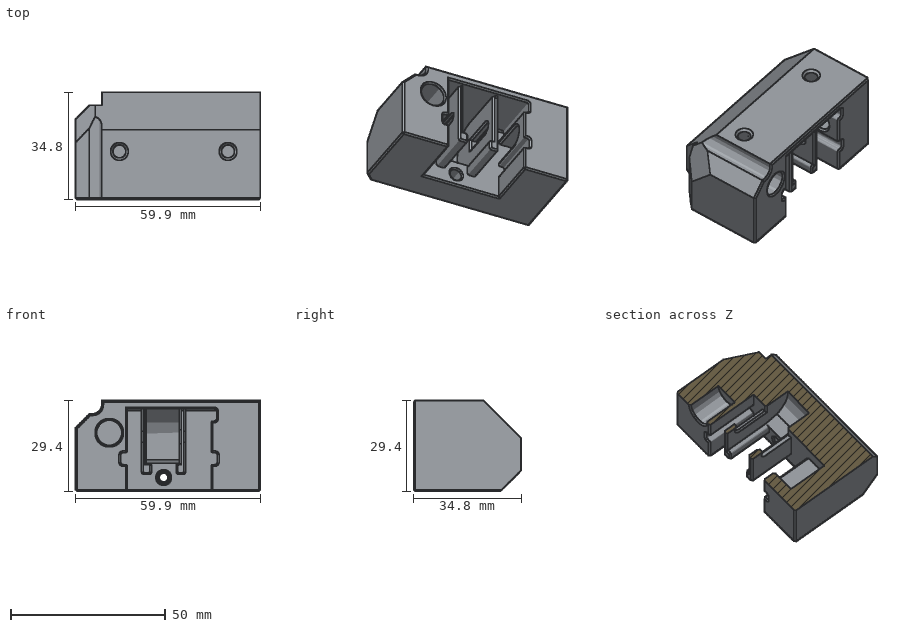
import cadquery as cq
import math

LENGTH = 59.9
DEPTH = 34.8
HEIGHT = 29.4
EDGE_CHAMFER = 0.55

STEP_X = 8.55
STEP_DROP = 4.4
STEP_RADIUS = 3.1
CORNER_CHAMFER = 4.55

TOP_SLOPE = 12.2
BOTTOM_SLOPE = 6.7
NOTCH_DEPTH = 4.25
FACET_SUM = 38.85
FACET_WIDTH = 6.4

POCKET_DEPTH = 18.55
POCKET_LEFT = 16.75
POCKET_RIGHT = 43.95
POCKET_TOP = 26.65
CEILING_CHAMFER = 0.55
GROOVE_BOTTOM = 8.6
GROOVE_TOP = 12.5
GROOVE_LEFT = 14.6
GROOVE_RIGHT = 46.0
RECESS_BOTTOM = 22.7
RECESS_RIGHT = 45.75
OUTER_ROUND = 0.9
LIP_ROUND = 0.6

RIB_FRONT = 2.1
FOOT_BOTTOM = 5.45
FOOT_TOP = 9.1
FOOT_ROUND = 0.95
LEFT_RIB = (21.4, 22.95, 24.7)
RIGHT_RIB = (35.7, 33.65, 32.6)

ROLLER_Y = 19.15
ROLLER_Z = 17.9
ROLLER_RADIUS = POCKET_TOP - ROLLER_Z
CAVITY_ARC_END = 62.0

AXLE_FRONT_Y = 7.9
AXLE_Z = 17.65
RIB_SLOT_RADIUS = 1.8
WALL_SLOT_RADIUS = 3.55
WALL_SLOT_DEPTH = 8.4
SLOT_CHAMFER = 0.6

FRONT_HOLE = (10.95, 18.9)
FRONT_HOLE_RADIUS = 4.1
FRONT_HOLE_DEPTH = 12.0
TOP_HOLES_X = (14.25, 49.4)
TOP_HOLES_Y = 15.55
TOP_HOLE_RADIUS = 2.1
TOP_HOLE_DEPTH = 6.0
TOP_HOLE_CHAMFER = 0.8
SCREW_HOLE = (28.55, 4.45)
SCREW_RADIUS = 1.45
COUNTERBORE_RADIUS = 2.05
COUNTERBORE_DEPTH = 4.8
COUNTERBORE_CHAMFER = 0.5

MATCH_TOLERANCE = 0.005
SLOPE_SUM = DEPTH - TOP_SLOPE + HEIGHT
NOTCH_Y = DEPTH - NOTCH_DEPTH


def front_plane(y):
    """Sketch plane at depth y with local axes X and Z."""
    return cq.Workplane("XZ", origin=(0, y, 0))


def extrude_back(sketch, depth):
    """Extrude a front plane sketch towards +Y."""
    return sketch.extrude(-depth)


def side_plane(x):
    """Sketch plane at x with local axes Y and Z, extruding towards +X."""
    return cq.Workplane("YZ", origin=(x, 0, 0))


def cylinder_along_y(x, z, radius, start, depth):
    return extrude_back(front_plane(start).center(x, z).circle(radius), depth)


def round_edges_along_y(solid, corners, radius):
    """Fillet the edges running along Y through the given (x, z) corners."""
    edges = [
        edge
        for edge in solid.edges("|Y").vals()
        for x, z in corners
        if math.hypot(edge.Center().x - x, edge.Center().z - z) < MATCH_TOLERANCE
    ]
    return solid.newObject(edges).fillet(radius)


def make_block():
    """Stepped front outline limited by the sloped side profile."""
    step_z = HEIGHT - STEP_DROP
    arc_x = STEP_X - STEP_RADIUS
    diagonal = STEP_RADIUS * math.sqrt(0.5)
    outline = (
        front_plane(0)
        .lineTo(LENGTH, 0)
        .lineTo(LENGTH, HEIGHT)
        .lineTo(STEP_X, HEIGHT)
        .lineTo(STEP_X, step_z + STEP_RADIUS)
        .threePointArc(
            (arc_x + diagonal, step_z + STEP_RADIUS - diagonal),
            (arc_x, step_z),
        )
        .lineTo(CORNER_CHAMFER, step_z)
        .lineTo(0, step_z - CORNER_CHAMFER)
        .close()
    )
    side_profile = (
        side_plane(0)
        .lineTo(DEPTH - BOTTOM_SLOPE, 0)
        .lineTo(DEPTH, BOTTOM_SLOPE)
        .lineTo(DEPTH, HEIGHT - TOP_SLOPE)
        .lineTo(DEPTH - TOP_SLOPE, HEIGHT)
        .lineTo(0, HEIGHT)
        .close()
    )
    return extrude_back(outline, DEPTH).intersect(side_profile.extrude(LENGTH))


def make_rear_corner_cut():
    """Notch and vertical chamfer at the rear left corner."""
    return (
        cq.Workplane("XY")
        .moveTo(0, NOTCH_Y - CORNER_CHAMFER)
        .lineTo(CORNER_CHAMFER, NOTCH_Y)
        .lineTo(STEP_X, NOTCH_Y)
        .lineTo(STEP_X, DEPTH)
        .lineTo(0, DEPTH)
        .close()
        .extrude(HEIGHT)
    )


def make_facet_cut():
    """Oblique wedge between the left side and the top rear slope."""
    along_slope = cq.Plane(origin=(0, 0, 0), xDir=(1, 0, 0), normal=(0, 1, -1))
    near = -FACET_SUM / math.sqrt(2)
    far = -SLOPE_SUM / math.sqrt(2)
    return (
        cq.Workplane(along_slope)
        .moveTo(0, near)
        .lineTo(FACET_WIDTH, far)
        .lineTo(0, far)
        .close()
        .extrude(DEPTH, both=True)
    )


def make_pocket():
    """Pocket with side grooves; the ceiling meets the back wall in a chamfer."""
    pocket = extrude_back(
        front_plane(0)
        .moveTo(POCKET_LEFT, 0)
        .lineTo(POCKET_LEFT, GROOVE_BOTTOM)
        .lineTo(GROOVE_LEFT, GROOVE_BOTTOM)
        .lineTo(GROOVE_LEFT, GROOVE_TOP)
        .lineTo(POCKET_LEFT, GROOVE_TOP)
        .lineTo(POCKET_LEFT, POCKET_TOP)
        .lineTo(RECESS_RIGHT, POCKET_TOP)
        .lineTo(RECESS_RIGHT, RECESS_BOTTOM)
        .lineTo(POCKET_RIGHT, RECESS_BOTTOM)
        .lineTo(POCKET_RIGHT, GROOVE_TOP)
        .lineTo(GROOVE_RIGHT, GROOVE_TOP)
        .lineTo(GROOVE_RIGHT, GROOVE_BOTTOM)
        .lineTo(POCKET_RIGHT, GROOVE_BOTTOM)
        .lineTo(POCKET_RIGHT, 0)
        .close(),
        POCKET_DEPTH,
    )

    pocket = pocket.faces(">Y").edges(">Z").chamfer(CEILING_CHAMFER)
    groove = (GROOVE_BOTTOM, GROOVE_TOP)
    groove_ends = [(x, z) for x in (GROOVE_LEFT, GROOVE_RIGHT) for z in groove]
    recess_ends = [(RECESS_RIGHT, RECESS_BOTTOM), (RECESS_RIGHT, POCKET_TOP)]
    mouths = [(x, z) for x in (POCKET_LEFT, POCKET_RIGHT) for z in groove]
    mouths.append((POCKET_RIGHT, RECESS_BOTTOM))
    pocket = round_edges_along_y(pocket, groove_ends + recess_ends, OUTER_ROUND)
    return round_edges_along_y(pocket, mouths, LIP_ROUND)


def make_rib(outer, inner, tip):
    """J-shaped rib with its foot turned inwards, hanging from the pocket ceiling."""
    rib = extrude_back(
        front_plane(RIB_FRONT)
        .moveTo(outer, POCKET_TOP)
        .lineTo(outer, FOOT_BOTTOM)
        .lineTo(tip, FOOT_BOTTOM)
        .lineTo(tip, FOOT_TOP)
        .lineTo(inner, FOOT_TOP)
        .lineTo(inner, POCKET_TOP)
        .close(),
        POCKET_DEPTH - RIB_FRONT,
    )
    foot_corners = [(outer, FOOT_BOTTOM), (tip, FOOT_BOTTOM), (tip, FOOT_TOP)]
    rib = round_edges_along_y(rib, foot_corners, FOOT_ROUND)
    rib = rib.faces("<Y").edges("not >Z").chamfer(EDGE_CHAMFER)
    front_start = min(outer, inner) + EDGE_CHAMFER
    front_width = abs(inner - outer) - 2 * EDGE_CHAMFER
    ceiling_gusset = (
        side_plane(front_start)
        .moveTo(RIB_FRONT, POCKET_TOP - CEILING_CHAMFER)
        .lineTo(RIB_FRONT - CEILING_CHAMFER, POCKET_TOP)
        .lineTo(RIB_FRONT, POCKET_TOP)
        .close()
        .extrude(front_width)
    )
    return rib.union(ceiling_gusset)


def make_roller_cavity():
    """Round-backed cavity between the ribs, with a floor rising gently from the foot tops."""
    end = math.radians(CAVITY_ARC_END)
    mouth_y = POCKET_DEPTH - CEILING_CHAMFER
    left = LEFT_RIB[1]
    return (
        side_plane(left)
        .moveTo(mouth_y, FOOT_TOP)
        .lineTo(POCKET_DEPTH, FOOT_TOP)
        .lineTo(
            ROLLER_Y + ROLLER_RADIUS * math.cos(end),
            ROLLER_Z - ROLLER_RADIUS * math.sin(end),
        )
        .threePointArc((ROLLER_Y + ROLLER_RADIUS, ROLLER_Z), (ROLLER_Y, POCKET_TOP))
        .lineTo(mouth_y, POCKET_TOP)
        .close()
        .extrude(RIGHT_RIB[1] - left)
    )


def make_axle_slot(x, radius, length):
    """Slot along Y with a round front end, running back to the pocket's rear wall."""
    slot = (
        side_plane(x)
        .moveTo(POCKET_DEPTH, AXLE_Z - radius)
        .lineTo(AXLE_FRONT_Y, AXLE_Z - radius)
        .threePointArc((AXLE_FRONT_Y - radius, AXLE_Z), (AXLE_FRONT_Y, AXLE_Z + radius))
        .lineTo(POCKET_DEPTH, AXLE_Z + radius)
        .close()
    )
    return slot.extrude(length)


def chamfer_slot_mouth(solid, x, radius, rear_y):
    """Chamfer the rim of an axle slot where it breaks through the wall at x, up to rear_y."""
    margin = SLOT_CHAMFER / 2
    rim = cq.selectors.BoxSelector(
        (x - margin, AXLE_FRONT_Y - radius - margin, AXLE_Z - radius - margin),
        (x + margin, rear_y, AXLE_Z + radius + margin),
    )
    return solid.edges(rim).chamfer(SLOT_CHAMFER)


def make_screw_hole():
    """Counterbored through hole below the roller cavity."""
    x, z = SCREW_HOLE
    rim = cq.Solid.makeCone(
        COUNTERBORE_RADIUS + COUNTERBORE_CHAMFER,
        COUNTERBORE_RADIUS,
        COUNTERBORE_CHAMFER,
        pnt=cq.Vector(x, POCKET_DEPTH, z),
        dir=cq.Vector(0, 1, 0),
    )
    bore = cylinder_along_y(x, z, COUNTERBORE_RADIUS, POCKET_DEPTH, COUNTERBORE_DEPTH)
    through = cylinder_along_y(x, z, SCREW_RADIUS, POCKET_DEPTH, DEPTH - POCKET_DEPTH)
    return bore.union(through).union(cq.Workplane(rim))


def make_top_holes():
    """Blind countersunk holes in the top face."""
    centers = [(x, TOP_HOLES_Y) for x in TOP_HOLES_X]
    holes = (
        cq.Workplane("XY", origin=(0, 0, HEIGHT))
        .pushPoints(centers)
        .circle(TOP_HOLE_RADIUS)
        .extrude(-TOP_HOLE_DEPTH)
    )
    for x, y in centers:
        countersink = cq.Solid.makeCone(
            TOP_HOLE_RADIUS + TOP_HOLE_CHAMFER,
            TOP_HOLE_RADIUS,
            TOP_HOLE_CHAMFER,
            pnt=cq.Vector(x, y, HEIGHT),
            dir=cq.Vector(0, 0, -1),
        )
        holes = holes.union(cq.Workplane(countersink))
    return holes


body = (
    make_block()
    .cut(make_rear_corner_cut())
    .cut(make_facet_cut())
    .cut(make_pocket())
    .cut(cylinder_along_y(*FRONT_HOLE, FRONT_HOLE_RADIUS, 0, FRONT_HOLE_DEPTH))
)

front_edges = body.faces("<Y").edges().vals()
bottom_edges = body.faces("<Z").edges("not >Y").vals()
body = body.newObject(front_edges + bottom_edges).chamfer(EDGE_CHAMFER)

for rib_sides in (LEFT_RIB, RIGHT_RIB):
    body = body.union(make_rib(*rib_sides))

body = body.cut(make_roller_cavity())
body = body.cut(make_axle_slot(LEFT_RIB[0], RIB_SLOT_RADIUS, RIGHT_RIB[0] - LEFT_RIB[0]))
body = body.cut(make_axle_slot(POCKET_RIGHT, WALL_SLOT_RADIUS, WALL_SLOT_DEPTH))
for inner_side in (LEFT_RIB[1], RIGHT_RIB[1]):
    body = chamfer_slot_mouth(body, inner_side, RIB_SLOT_RADIUS, POCKET_DEPTH + SLOT_CHAMFER)
body = chamfer_slot_mouth(body, POCKET_RIGHT, WALL_SLOT_RADIUS, POCKET_DEPTH - SLOT_CHAMFER)

body = body.cut(make_screw_hole())
result = body.cut(make_top_holes())